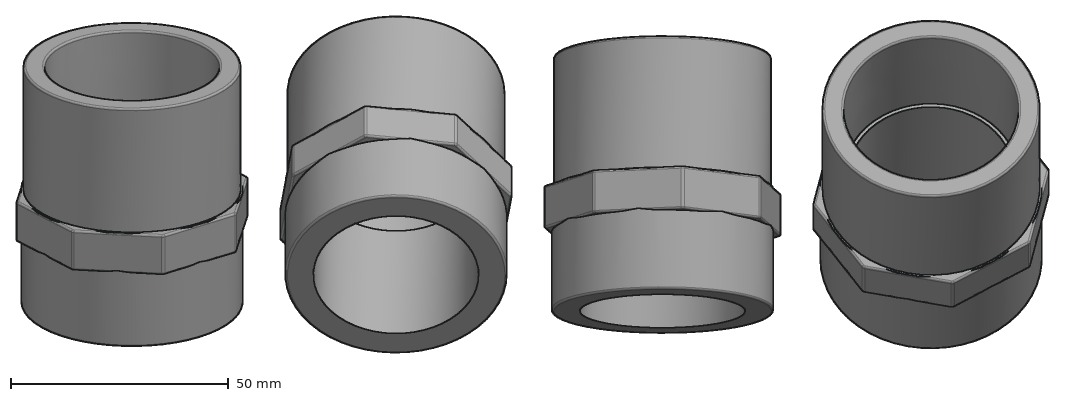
import cadquery as cq

BODY_HEIGHT = 59.5
SLEEVE_DIAMETER = 51.0
SPIGOT_DIAMETER = 50.0
BORE_DIAMETER = 38.0
SOCKET_DIAMETER = 40.2
SOCKET_SEAT_DIAMETER = 39.9
SOCKET_DEPTH = 26.0
COLLAR_BASE = 18.5
COLLAR_HEIGHT = 10.0
COLLAR_SIDES = 8
COLLAR_CORNER_FILLET = 1.0
COLLAR_EDGE_FILLET = 0.5
RIM_FILLET = 0.5

COLLAR_TOP = COLLAR_BASE + COLLAR_HEIGHT


def make_cylinder(diameter, base, top):
    return cq.Workplane("XY").workplane(offset=base).circle(diameter / 2).extrude(top - base)


def make_sleeve():
    sleeve = make_cylinder(SLEEVE_DIAMETER, 0, COLLAR_TOP)
    return sleeve.faces("<Z").edges().fillet(RIM_FILLET)


def make_spigot():
    spigot = make_cylinder(SPIGOT_DIAMETER, COLLAR_BASE, BODY_HEIGHT)
    return spigot.faces(">Z").edges().fillet(RIM_FILLET)


def make_collar():
    """Octagonal wrench collar, flats square to X and Y, with all edges rounded."""
    collar = (
        cq.Workplane("XY")
        .workplane(offset=COLLAR_BASE)
        .polygon(COLLAR_SIDES, SLEEVE_DIAMETER, circumscribed=True)
        .extrude(COLLAR_HEIGHT)
    )
    collar = collar.edges("|Z").fillet(COLLAR_CORNER_FILLET)
    return collar.faces("<Z or >Z").edges().fillet(COLLAR_EDGE_FILLET)


def make_socket():
    """Slightly tapered pipe socket with a rounded mouth, as a solid to cut away."""
    seat_radius = SOCKET_SEAT_DIAMETER / 2
    mouth_radius = SOCKET_DIAMETER / 2
    seat_height = BODY_HEIGHT - SOCKET_DEPTH
    profile = (
        cq.Workplane("XZ")
        .moveTo(0, seat_height)
        .lineTo(seat_radius, seat_height)
        .lineTo(mouth_radius, BODY_HEIGHT - RIM_FILLET)
        .radiusArc((mouth_radius + RIM_FILLET, BODY_HEIGHT), RIM_FILLET)
        .lineTo(0, BODY_HEIGHT)
        .close()
    )
    return profile.revolve(360, (0, 0, 0), (0, 1, 0))


body = make_sleeve().union(make_collar()).union(make_spigot())
bore = make_cylinder(BORE_DIAMETER, 0, BODY_HEIGHT)
result = body.cut(bore).cut(make_socket())